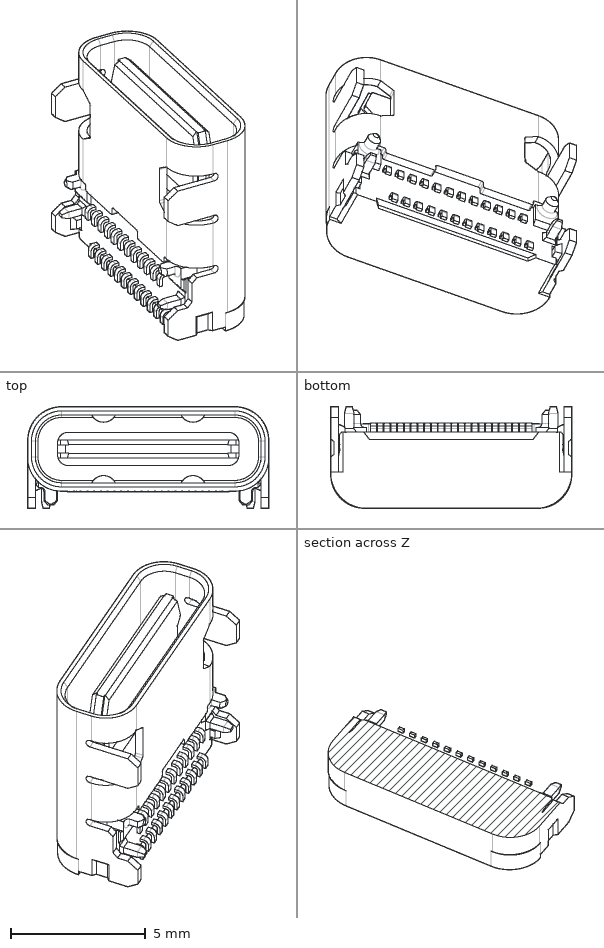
import cadquery as cq

WIDTH = 8.94
DEPTH = 3.14
OVERALL_DEPTH = 3.77
HEIGHT = 8.17
CORNER_RADIUS = 1.26
SIDE_WALL = 0.295
FACE_WALL = 0.31
MOUTH_BEVEL = 0.15
MOUTH_BEVEL_Z = 0.21
SHELL_BOTTOM_Z = 0.17
REAR_BOTTOM_Z = 0.78
REAR_FLANGE_Y = 0.22
HALF_WIDTH = WIDTH / 2
FRONT_Y = -DEPTH / 2
CAVITY_WIDTH = WIDTH - 2 * SIDE_WALL
CAVITY_DEPTH = DEPTH - 2 * FACE_WALL
CAVITY_RADIUS = CORNER_RADIUS - SIDE_WALL
CAVITY_X = CAVITY_WIDTH / 2
INSULATOR_Y = -CAVITY_DEPTH / 2
BEYOND = 0.89

SKIRT_CORNER_Z = 2.95
SKIRT_LOW_Z = 2.68
SKIRT_LOW_X = 2.995
SKIRT_NOTCH_Z = 3.02
SKIRT_NOTCH_X = 0.965
SKIRT_FILLET = 0.07

SLOT_END_Y = -0.09
SLOT_WIDTH = 0.31
SLOT_RADIUS = SLOT_WIDTH / 2
SLOT_CENTRE_Y = SLOT_END_Y - SLOT_RADIUS
WINDOW_TOP_Z = 6.91
WINDOW_BOTTOM_Z = 4.8
WINDOW_INNER_X = 2.655
WINDOW_BEVEL_X = 0.545
WINDOW_BEVEL_Z = 0.32
WINDOW_FILLET = 0.11
TAB_TIP_Y = DEPTH / 2 - OVERALL_DEPTH
TAB_BEVEL_Y = 0.41
TAB_BEVEL_Z = 0.295
UPPER_TAB_TOP_Z = WINDOW_TOP_Z - SLOT_WIDTH
UPPER_TAB_BOTTOM_Z = WINDOW_BOTTOM_Z + SLOT_WIDTH
LOWER_TAB_TOP_Z = SKIRT_CORNER_Z - SLOT_WIDTH
LOWER_TAB_SHOULDER_Y = -0.98
LOWER_TAB_WAIST_Y = -1.19
LOWER_TAB_WAIST_TOP_Z = 2.45
LOWER_TAB_WAIST_BOTTOM_Z = 1.65
LOWER_TAB_FOOT_Y = -1.38
LOWER_TAB_FOOT_Z = 1.46

LATCH_WIDTH = 0.69
LATCH_Y = -0.67
LATCH_TOP_Z = 0.97
LATCH_SLOPE = 0.12
LATCH_DEPTH = 0.13
BUMP_REAR_Y = -0.63
BUMP_FRONT_Y = -1.56
BUMP_BOTTOM_Z = 0.4
BUMP_TOP_Z = 1.0
BUMP_X = 3.93
RELIEF_X = 3.9
RELIEF_REAR_Y = -0.805
RELIEF_BOTTOM_Z = 0.41
RELIEF_TOP_Z = 1.055

FLOOR_Z = 3.22
FLOOR_CHAMFER = 0.09
INSULATOR_SIDE_X = 4.14
INSULATOR_BEVEL = 0.08
STEP_X = INSULATOR_SIDE_X - INSULATOR_BEVEL
STEP_Z = 2.48
BOTTOM_CHAMFER = 0.17
FLANGE_RADIUS = 1.34
FLOOR_POCKET_X = 1.65
FLOOR_POCKET_RADIUS = 0.49
FLOOR_POCKET_REACH = 0.27
FLOOR_POCKET_DEPTH = 0.09
GROOVE_X = 3.24
GROOVE_HEIGHT = 0.2
GROOVE_DEPTH = 0.27
GROOVE_SLOPE = 0.21

ROOT_X = 3.36
ROOT_Y = 0.62
ROOT_TOP_Z = 5.1
ROOT_CORNER = 0.4
TONGUE_Y = 0.34
TONGUE_TOP_Z = 7.9
TONGUE_TIP_X = 2.95
TONGUE_SIDE_X = 3.25
TONGUE_WAIST_X = 2.995
TONGUE_TAPER_Z = 6.91
TONGUE_SIDE_Z = 6.79
TONGUE_WAIST_TOP_Z = 6.51
TONGUE_WAIST_BOTTOM_Z = 5.35
TONGUE_FLARE_X = 3.16
TONGUE_FOOT_Z = 5.17
PLATE_Y = 0.15
PLATE_MARGIN = 0.11
TIP_CHAMFER_Y = 0.17
TIP_CHAMFER_Z = 0.14

PAD_INNER_X = 3.14
PAD_Y = -1.43
PAD_BOTTOM_Z = 2.065
PAD_FOOT_Z = 1.895
PEG_X = 3.61
PEG_Z = 2.81
PEG_RADIUS = 0.26
PEG_FOOT_RADIUS = 0.4
PEG_TIP_RADIUS = 0.12
PEG_SHOULDER_Y = -1.9
PEG_TIP_Y = -2.07

POST_X = 3.78
POST_Z = 1.42
POST_FOOT = (0.53, 0.47)
POST_SHAFT = (0.36, 0.29)
POST_TIP = (0.23, 0.125)
POST_FOOT_Y = -1.39
POST_SHOULDER_Y = -1.95

PIN_COUNT = 12
PIN_PITCH = 0.5
PIN_WIDTH = 0.215
PIN_THICKNESS = 0.12
PIN_OUTER_Y = -1.6
PIN_BEND_RADIUS = 0.21
PIN_DROP = 0.49
UPPER_ROW_TOP_Z = 2.02
LOWER_ROW_TOP_Z = 0.52


def box(x_range, y_range, z_range):
    """Box between the given pairs of limits."""
    low, high = zip(x_range, y_range, z_range)
    size = [b - a for a, b in zip(low, high)]
    return cq.Workplane("XY").box(*size, centered=False).translate(low)


def rounded_outline(width, depth, radius):
    """Sketch of a rectangle with rounded corners."""
    return cq.Sketch().rect(width, depth).vertices().fillet(radius)


def rounded_bar(width, depth, radius, z_low, z_high):
    """Upright bar with a rounded rectangular section."""
    outline = rounded_outline(width, depth, radius)
    return cq.Workplane("XY", origin=(0, 0, z_low)).placeSketch(outline).extrude(z_high - z_low)


def slab_xz(points, y_rear, y_front):
    """X-Z outline extruded forward from y_rear to y_front."""
    return cq.Workplane("XZ", origin=(0, y_rear, 0)).polyline(points).close().extrude(y_rear - y_front)


def slab_yz(points, x_low, x_high):
    """Y-Z outline extruded along X."""
    return cq.Workplane("YZ", origin=(x_low, 0, 0)).polyline(points).close().extrude(x_high - x_low)


def symmetric_plate(right_half, z_low, z_high):
    """Plate whose X-Y outline is the given right half and its mirror image."""
    left_half = [(-x, y) for x, y in reversed(right_half)]
    outline = cq.Workplane("XY", origin=(0, 0, z_low)).polyline(right_half + left_half).close()
    return outline.extrude(z_high - z_low)


def both_sides(body):
    """The body together with its mirror image across X = 0."""
    return body.union(body.mirror("YZ"))


def make_skirt_cutter():
    """Removes the front of the shell below its stepped lower edge."""
    right_half = [
        (SKIRT_NOTCH_X, SKIRT_NOTCH_Z),
        (SKIRT_NOTCH_X, SKIRT_LOW_Z),
        (SKIRT_LOW_X, SKIRT_LOW_Z),
        (SKIRT_LOW_X, SKIRT_CORNER_Z),
        (HALF_WIDTH + BEYOND, SKIRT_CORNER_Z),
        (HALF_WIDTH + BEYOND, -BEYOND),
    ]
    left_half = [(-x, z) for x, z in reversed(right_half)]
    cutter = slab_xz(right_half + left_half, SLOT_CENTRE_Y, FRONT_Y - BEYOND)
    step_x = SKIRT_LOW_X + SKIRT_FILLET
    steps = cq.selectors.BoxSelector(
        (-step_x, FRONT_Y - 2 * BEYOND, SKIRT_LOW_Z - SKIRT_FILLET),
        (step_x, 0, SKIRT_NOTCH_Z + SKIRT_FILLET),
    )
    return cutter.edges("|Y").edges(steps).fillet(SKIRT_FILLET)


def make_window_cutter():
    """Opening around the right front corner of the shell."""
    bevel_x = WINDOW_INNER_X + WINDOW_BEVEL_X
    outline = [
        (HALF_WIDTH + BEYOND, WINDOW_TOP_Z),
        (bevel_x, WINDOW_TOP_Z),
        (WINDOW_INNER_X, WINDOW_TOP_Z - WINDOW_BEVEL_Z),
        (WINDOW_INNER_X, WINDOW_BOTTOM_Z + WINDOW_BEVEL_Z),
        (bevel_x, WINDOW_BOTTOM_Z),
        (HALF_WIDTH + BEYOND, WINDOW_BOTTOM_Z),
    ]
    opening = slab_xz(outline, SLOT_CENTRE_Y, FRONT_Y - BEYOND)
    return opening.edges("|Y").edges("<X").fillet(WINDOW_FILLET)


def make_slot_ends():
    """Round rear ends of the slots that free the tabs on the right side."""
    centres = [
        (SLOT_CENTRE_Y, WINDOW_TOP_Z - SLOT_RADIUS),
        (SLOT_CENTRE_Y, WINDOW_BOTTOM_Z + SLOT_RADIUS),
        (SLOT_CENTRE_Y, SKIRT_CORNER_Z - SLOT_RADIUS),
    ]
    plane = cq.Workplane("YZ", origin=(CAVITY_X, 0, 0))
    return plane.pushPoints(centres).circle(SLOT_RADIUS).extrude(SIDE_WALL)


def make_tabs():
    """Upper and lower solder tabs of the right side."""
    bevel_y = TAB_TIP_Y + TAB_BEVEL_Y
    upper = [
        (SLOT_CENTRE_Y, UPPER_TAB_TOP_Z),
        (bevel_y, UPPER_TAB_TOP_Z),
        (TAB_TIP_Y, UPPER_TAB_TOP_Z - TAB_BEVEL_Z),
        (TAB_TIP_Y, UPPER_TAB_BOTTOM_Z + TAB_BEVEL_Z),
        (bevel_y, UPPER_TAB_BOTTOM_Z),
        (SLOT_CENTRE_Y, UPPER_TAB_BOTTOM_Z),
    ]
    lower = [
        (SLOT_CENTRE_Y, LOWER_TAB_TOP_Z),
        (LOWER_TAB_SHOULDER_Y, LOWER_TAB_TOP_Z),
        (LOWER_TAB_WAIST_Y, LOWER_TAB_WAIST_TOP_Z),
        (LOWER_TAB_WAIST_Y, LOWER_TAB_WAIST_BOTTOM_Z),
        (LOWER_TAB_FOOT_Y, LOWER_TAB_FOOT_Z),
        (bevel_y, LOWER_TAB_FOOT_Z),
        (TAB_TIP_Y, LOWER_TAB_FOOT_Z - TAB_BEVEL_Z),
        (TAB_TIP_Y, SHELL_BOTTOM_Z + TAB_BEVEL_Z),
        (bevel_y, SHELL_BOTTOM_Z),
        (SLOT_CENTRE_Y, SHELL_BOTTOM_Z),
    ]
    return slab_yz(upper, CAVITY_X, HALF_WIDTH).union(slab_yz(lower, CAVITY_X, HALF_WIDTH))


def make_frustum(x_wide, x_narrow, y_mid, z_mid, size):
    """Block with four sloped sides, narrowing along X from x_wide to x_narrow."""
    length, height = size
    wide = cq.Workplane("YZ", origin=(x_wide, y_mid, z_mid)).rect(length, height)
    narrow = wide.workplane(offset=x_narrow - x_wide)
    return narrow.rect(length - 2 * LATCH_SLOPE, height - 2 * LATCH_SLOPE).loft(combine=True)


def make_latch_recess():
    """Recess in the outside of the right wall, open at the shell's lower edge."""
    size = (LATCH_WIDTH, 2 * (LATCH_TOP_Z - SHELL_BOTTOM_Z))
    return make_frustum(HALF_WIDTH, HALF_WIDTH - LATCH_DEPTH, LATCH_Y, SHELL_BOTTOM_Z, size)


def make_latch_bump():
    """Bump on the inside of the right wall that bites into the insulator."""
    y_mid = (BUMP_REAR_Y + BUMP_FRONT_Y) / 2
    z_mid = (BUMP_BOTTOM_Z + BUMP_TOP_Z) / 2
    size = (BUMP_REAR_Y - BUMP_FRONT_Y, BUMP_TOP_Z - BUMP_BOTTOM_Z)
    return make_frustum(CAVITY_X, BUMP_X, y_mid, z_mid, size)


def make_mouth_funnel():
    """Cutter for the lead-in bevel around the mouth of the cavity."""
    grow = 2 * MOUTH_BEVEL
    narrow = rounded_outline(CAVITY_WIDTH, CAVITY_DEPTH, CAVITY_RADIUS)
    wide = rounded_outline(CAVITY_WIDTH + grow, CAVITY_DEPTH + grow, CAVITY_RADIUS + MOUTH_BEVEL)
    rise = cq.Location(cq.Vector(0, 0, MOUTH_BEVEL_Z))
    base = cq.Workplane("XY", origin=(0, 0, HEIGHT - MOUTH_BEVEL_Z))
    return base.placeSketch(narrow, wide.moved(rise)).loft()


def make_shell():
    shell = rounded_bar(WIDTH, DEPTH, CORNER_RADIUS, SHELL_BOTTOM_Z, HEIGHT)
    shell = shell.cut(rounded_bar(CAVITY_WIDTH, CAVITY_DEPTH, CAVITY_RADIUS, 0, HEIGHT))
    shell = shell.cut(make_mouth_funnel())
    rear = box((-HALF_WIDTH, HALF_WIDTH), (REAR_FLANGE_Y, DEPTH), (0, REAR_BOTTOM_Z))
    shell = shell.cut(rear).cut(make_skirt_cutter())
    shell = shell.cut(both_sides(make_window_cutter())).cut(both_sides(make_slot_ends()))
    shell = shell.union(both_sides(make_tabs()))
    return shell.cut(both_sides(make_latch_recess())).union(both_sides(make_latch_bump()))


def make_insulator():
    core = rounded_bar(CAVITY_WIDTH, CAVITY_DEPTH, CAVITY_RADIUS, 0, FLOOR_Z)
    core = core.faces(">Z").chamfer(FLOOR_CHAMFER)
    for x in (-FLOOR_POCKET_X, FLOOR_POCKET_X):
        for side in (-1, 1):
            centre_y = side * (CAVITY_DEPTH / 2 - FLOOR_POCKET_REACH + FLOOR_POCKET_RADIUS)
            pocket = cq.Workplane("XY", origin=(x, centre_y, FLOOR_Z - FLOOR_POCKET_DEPTH))
            core = core.cut(pocket.circle(FLOOR_POCKET_RADIUS).extrude(FLOOR_POCKET_DEPTH))

    lower = [
        (INSULATOR_SIDE_X, 0),
        (INSULATOR_SIDE_X, INSULATOR_Y + INSULATOR_BEVEL),
        (STEP_X, INSULATOR_Y),
    ]
    upper = [(STEP_X, 0), (STEP_X, INSULATOR_Y)]
    insulator = core.union(symmetric_plate(lower, 0, STEP_Z))
    insulator = insulator.union(symmetric_plate(upper, STEP_Z, SKIRT_CORNER_Z))

    bevel_x = CAVITY_X - BOTTOM_CHAMFER
    bevel = slab_xz(
        [(bevel_x, 0), (CAVITY_X, 0), (CAVITY_X, BOTTOM_CHAMFER)],
        DEPTH / 2,
        INSULATOR_Y,
    )
    insulator = insulator.cut(both_sides(bevel))

    flange = rounded_bar(WIDTH, DEPTH, FLANGE_RADIUS, 0, REAR_BOTTOM_Z)
    behind = box((-HALF_WIDTH, HALF_WIDTH), (REAR_FLANGE_Y, DEPTH), (0, REAR_BOTTOM_Z))
    insulator = insulator.union(flange.intersect(behind))

    inner_x = GROOVE_X - GROOVE_SLOPE
    rear_y = INSULATOR_Y + GROOVE_DEPTH
    groove = symmetric_plate([(GROOVE_X, INSULATOR_Y), (inner_x, rear_y)], 0, GROOVE_HEIGHT)

    relief = box(
        (RELIEF_X, CAVITY_X),
        (INSULATOR_Y, RELIEF_REAR_Y),
        (RELIEF_BOTTOM_Z, RELIEF_TOP_Z),
    )
    return insulator.cut(groove).cut(both_sides(relief))


def make_blade(margin, half_thickness):
    """Flat blade waisted at its sides, standing margin outside the tongue's outline."""
    right_half = [
        (TONGUE_SIDE_X + margin, FLOOR_Z),
        (TONGUE_SIDE_X + margin, TONGUE_FOOT_Z),
        (TONGUE_FLARE_X + margin, TONGUE_FOOT_Z),
        (TONGUE_WAIST_X + margin, TONGUE_WAIST_BOTTOM_Z),
        (TONGUE_WAIST_X + margin, TONGUE_WAIST_TOP_Z),
        (TONGUE_SIDE_X + margin, TONGUE_SIDE_Z),
        (TONGUE_SIDE_X + margin, TONGUE_TAPER_Z),
        (TONGUE_TIP_X + margin, TONGUE_TOP_Z),
    ]
    left_half = [(-x, z) for x, z in reversed(right_half)]
    return slab_xz(right_half + left_half, half_thickness, -half_thickness)


def make_tongue():
    tip_y = TONGUE_Y - TIP_CHAMFER_Y
    shoulder_z = TONGUE_TOP_Z - TIP_CHAMFER_Z
    section = [
        (-TONGUE_Y, FLOOR_Z),
        (-TONGUE_Y, shoulder_z),
        (-tip_y, TONGUE_TOP_Z),
        (tip_y, TONGUE_TOP_Z),
        (TONGUE_Y, shoulder_z),
        (TONGUE_Y, FLOOR_Z),
    ]
    body = make_blade(0, TONGUE_Y).intersect(slab_yz(section, -HALF_WIDTH, HALF_WIDTH))
    plate = make_blade(PLATE_MARGIN, PLATE_Y)

    root = rounded_bar(2 * ROOT_X, 2 * ROOT_Y, ROOT_CORNER, FLOOR_Z, ROOT_TOP_Z)
    slope_z = ROOT_TOP_Z - (ROOT_Y - TONGUE_Y)
    root_section = [
        (-ROOT_Y, FLOOR_Z),
        (-ROOT_Y, slope_z),
        (-TONGUE_Y, ROOT_TOP_Z),
        (TONGUE_Y, ROOT_TOP_Z),
        (ROOT_Y, slope_z),
        (ROOT_Y, FLOOR_Z),
    ]
    root = root.intersect(slab_yz(root_section, -ROOT_X, ROOT_X))
    return body.union(plate).union(root)


def make_pad():
    """Raised pad at the right, with its round peg cut flat along the top."""
    section = [
        (INSULATOR_Y, PAD_FOOT_Z),
        (PAD_Y, PAD_BOTTOM_Z),
        (PAD_Y, SKIRT_CORNER_Z),
        (INSULATOR_Y, SKIRT_CORNER_Z),
    ]
    pad = slab_yz(section, PAD_INNER_X, INSULATOR_SIDE_X)
    bevel = [
        (STEP_X, PAD_Y),
        (INSULATOR_SIDE_X, PAD_Y),
        (INSULATOR_SIDE_X, PAD_Y + INSULATOR_BEVEL),
    ]
    pad = pad.cut(cq.Workplane("XY").polyline(bevel).close().extrude(HEIGHT))
    pad = pad.cut(box((STEP_X, INSULATOR_SIDE_X), (PAD_Y, 0), (STEP_Z, SKIRT_CORNER_Z)))

    fillet = PEG_FOOT_RADIUS - PEG_RADIUS
    peg = (
        cq.Workplane("XY", origin=(PEG_X, 0, PEG_Z))
        .moveTo(0, PAD_Y)
        .lineTo(PEG_FOOT_RADIUS, PAD_Y)
        .radiusArc((PEG_RADIUS, PAD_Y - fillet), -fillet)
        .lineTo(PEG_RADIUS, PEG_SHOULDER_Y)
        .lineTo(PEG_TIP_RADIUS, PEG_TIP_Y)
        .lineTo(0, PEG_TIP_Y)
        .close()
        .revolve(360, (0, 0, 0), (0, 1, 0))
    )
    above = box((0, HALF_WIDTH), (PEG_TIP_Y, 0), (SKIRT_CORNER_Z, HEIGHT))
    return pad.union(peg.cut(above))


def make_post():
    """Square post at the right: flared foot, straight shaft, pointed tip."""
    def section(y, size):
        return cq.Workplane("XZ", origin=(POST_X, y, POST_Z)).rect(*size)

    foot = section(INSULATOR_Y, POST_FOOT).workplane(offset=INSULATOR_Y - POST_FOOT_Y)
    foot = foot.rect(*POST_SHAFT).loft(combine=True)
    shaft = section(INSULATOR_Y, POST_SHAFT).extrude(INSULATOR_Y - POST_SHOULDER_Y)
    tip = section(POST_SHOULDER_Y, POST_SHAFT).workplane(offset=POST_SHOULDER_Y - TAB_TIP_Y)
    tip = tip.rect(*POST_TIP).loft(combine=True)
    return foot.union(shaft).union(tip)


def make_pin(x, top_z):
    """Pin that leaves the insulator forward and bends down."""
    bottom_z = top_z - PIN_DROP
    inner_y = PIN_OUTER_Y + PIN_THICKNESS
    under_z = top_z - PIN_THICKNESS
    root_y = INSULATOR_Y + GROOVE_DEPTH / 2
    inner_radius = PIN_BEND_RADIUS - PIN_THICKNESS
    profile = (
        cq.Workplane("YZ", origin=(x - PIN_WIDTH / 2, 0, 0))
        .moveTo(root_y, top_z)
        .lineTo(PIN_OUTER_Y + PIN_BEND_RADIUS, top_z)
        .radiusArc((PIN_OUTER_Y, top_z - PIN_BEND_RADIUS), -PIN_BEND_RADIUS)
        .lineTo(PIN_OUTER_Y, bottom_z)
        .lineTo(inner_y, bottom_z)
        .lineTo(inner_y, under_z - inner_radius)
        .radiusArc((inner_y + inner_radius, under_z), inner_radius)
        .lineTo(root_y, under_z)
        .close()
    )
    return profile.extrude(PIN_WIDTH)


result = make_shell().union(make_insulator()).union(make_tongue())
result = result.union(both_sides(make_pad())).union(both_sides(make_post()))

row_shift = PIN_PITCH / 4
for index in range(PIN_COUNT):
    pin_x = (index - (PIN_COUNT - 1) / 2) * PIN_PITCH
    result = result.union(make_pin(pin_x - row_shift, UPPER_ROW_TOP_Z))
    result = result.union(make_pin(pin_x + row_shift, LOWER_ROW_TOP_Z))